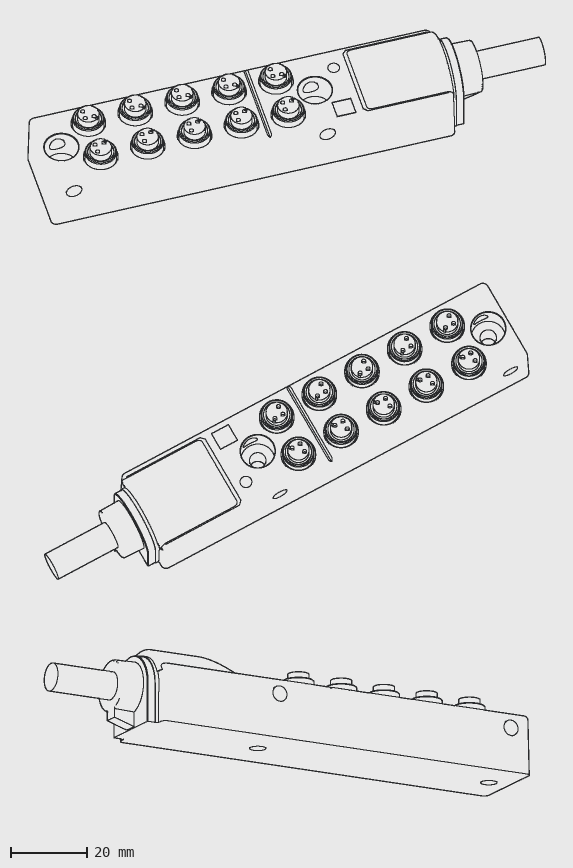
import cadquery as cq
import math

body_width = 24.51
body_length = 110.2
body_height = 16.1
body_corner_radius = 1.5
body_draft_angle = 1.0
body_top_radius = 1.1

mount_y_positions = (6.0, 75.2)
mount_bore_diameter = 4.3
counterbore_diameter = 9.0
counterbore_chamfer = 0.15
counterbore_flare_angle = -45
counterbore_depth = 8.2
cross_bore_diameter = 4.2
cross_bore_z = 12.0

socket_rows = 5
socket_pitch = 12.8
socket_first_y = 15.05
socket_x_offset = 5.85
socket_base_diameter = 8.3
socket_base_height = 2.0
socket_base_chamfer = 0.25
socket_moat_diameter = 9.1
socket_moat_depth = 1.0
socket_ring_diameter = 6.9
socket_ring_depth = 0.5
socket_top_diameter = 5.65
socket_height = 3.8
contact_diameter = 1.07
contact_offset = 1.2
contact_depth = 2.0
keyway_width = 0.6
keyway_inner_radius = 2.2
keyway_depth = 0.5

groove_y = 59.6
groove_width = 1.1
groove_depth = 0.5

indicator_y = 82.0
indicator_diameter = 3.1
indicator_height = 0.3
label_x = 7.7
label_y = 80.9
label_width = 4.9
label_length = 5.1
label_depth = 0.2

overall_height = 22.0
hood_radius = 12.0
hood_axis_z = overall_height - hood_radius
hood_front_top_y = 95.0
hood_front_foot_y = 86.5
hood_edge_radius = 1.5
hood_embed = 2.0
hood_back_radius = 0.9
pad_front_y = 85.6
pad_width = 21.2
pad_height = 0.1
pad_corner = 1.0

cable_axis_z = 11.1
cable_diameter = 7.5
cable_end_y = 137.1
flange_radius = 9.25
flange_axis_z = 10.6
flange_back_y = 113.3
flange_chamfer = 0.2
neck_back_y = 111.1
neck_growth = 0.2
neck_embed = 1.0
collar_radius = 7.1
collar_taper_angle = 1.5
collar_back_y = 119.2
collar_tip_radius = 0.4
rib_width = 4.0
rib_base_z = 0.3
rib_tip_z = 2.1


def cylinder_y(radius, axis_z, y_start, y_end):
    """Round bar along Y between two Y positions."""
    plane = cq.Workplane("XZ", origin=(0, y_start, axis_z))
    return plane.circle(radius).extrude(y_start - y_end)


def disc(diameter, z_start, z_end):
    """Upright round disc about the Z axis between two Z positions."""
    return cq.Workplane("XY", origin=(0, 0, z_start)).circle(diameter / 2).extrude(z_end - z_start)


def block(x_size, y_start, y_end, z_start, z_end):
    """Box centred on X between given Y and Z limits."""
    y_size = y_end - y_start
    plane = cq.Workplane("XY", origin=(0, (y_start + y_end) / 2, z_start))
    return plane.rect(x_size, y_size).extrude(z_end - z_start)


def make_body():
    base = cq.Workplane("XY", origin=(0, body_length / 2, 0)).rect(body_width, body_length)
    body = base.extrude(body_height, taper=body_draft_angle)
    body = body.edges("not(#Z)").fillet(body_corner_radius)
    return body.faces(">Z").edges().fillet(body_top_radius)


def make_hood():
    slope_run_per_rise = (hood_front_top_y - hood_front_foot_y) / (overall_height - body_height)
    embedded_z = body_height - hood_embed
    embedded_y = hood_front_foot_y - hood_embed * slope_run_per_rise
    hood = cylinder_y(hood_radius, hood_axis_z, embedded_y, body_length)
    hood = hood.faces(">Y").edges().fillet(hood_back_radius)
    side_profile = (
        cq.Workplane("YZ", origin=(-hood_radius, 0, 0))
        .moveTo(embedded_y, embedded_z)
        .lineTo(hood_front_top_y, overall_height)
        .lineTo(body_length, overall_height)
        .lineTo(body_length, embedded_z)
        .close()
        .extrude(2 * hood_radius)
    )
    hood = hood.intersect(side_profile)
    return hood.edges("%ELLIPSE").fillet(hood_edge_radius)


def make_hood_pad():
    pad_back_y = body_length - body_corner_radius
    pad = block(pad_width, pad_front_y, pad_back_y, body_height, body_height + pad_height)
    return pad.edges("|Z and <Y").chamfer(pad_corner)


def make_arched_plate(radius, y_start, y_end):
    """Plate with straight sides and a semicircular top."""
    return (
        cq.Workplane("XZ", origin=(0, y_start, 0))
        .moveTo(-radius, 0)
        .lineTo(radius, 0)
        .lineTo(radius, flange_axis_z)
        .threePointArc((0, flange_axis_z + radius), (-radius, flange_axis_z))
        .close()
        .extrude(y_start - y_end)
    )


def make_cable_entry():
    neck = make_arched_plate(flange_radius + neck_growth, body_length - neck_embed, neck_back_y)
    flange = make_arched_plate(flange_radius, neck_back_y, flange_back_y)
    flange = flange.faces(">Y").edges("not(<Z)").chamfer(flange_chamfer)
    collar = (
        cq.Workplane("XZ", origin=(0, flange_back_y, cable_axis_z))
        .circle(collar_radius)
        .extrude(flange_back_y - collar_back_y, taper=collar_taper_angle)
    )
    collar = collar.faces(">Y").edges().fillet(collar_tip_radius)
    rib = (
        cq.Workplane("YZ", origin=(-rib_width / 2, 0, 0))
        .moveTo(flange_back_y, rib_base_z)
        .lineTo(collar_back_y, rib_tip_z)
        .lineTo(collar_back_y, cable_axis_z)
        .lineTo(flange_back_y, cable_axis_z)
        .close()
        .extrude(rib_width)
    )
    cable = cylinder_y(cable_diameter / 2, cable_axis_z, collar_back_y, cable_end_y)
    return neck.union(flange).union(collar).union(rib).union(cable)


def make_socket(side):
    """Socket seated at Z = 0; side is -1 or +1 for the left or right column."""
    base = disc(socket_base_diameter, -socket_moat_depth, socket_base_height)
    base = base.faces(">Z").edges().chamfer(socket_base_chamfer)
    recess_floor_z = socket_base_height - socket_ring_depth
    ring_recess = disc(socket_ring_diameter, recess_floor_z, socket_base_height)
    plug = disc(socket_top_diameter, 0, socket_height)
    contact_points = [
        (-contact_offset, -contact_offset),
        (contact_offset, -contact_offset),
        (-side * contact_offset, contact_offset),
    ]
    contacts = (
        cq.Workplane("XY", origin=(0, 0, socket_height - contact_depth))
        .pushPoints(contact_points)
        .circle(contact_diameter / 2)
        .extrude(contact_depth)
    )
    keyway_angle = math.degrees(math.atan2(contact_offset, -side * contact_offset))
    keyway_length = socket_top_diameter / 2 - keyway_inner_radius
    keyway = (
        cq.Workplane("XY", origin=(0, 0, socket_height - keyway_depth))
        .center(keyway_inner_radius + keyway_length / 2, 0)
        .rect(keyway_length, keyway_width)
        .extrude(keyway_depth)
        .rotate((0, 0, 0), (0, 0, 1), keyway_angle)
    )
    return base.cut(ring_recess).union(plug).cut(contacts).cut(keyway)


def add_sockets(part):
    moat = disc(socket_moat_diameter, -socket_moat_depth, 0)
    for side in (-1, 1):
        socket = make_socket(side)
        for row in range(socket_rows):
            seat = (side * socket_x_offset, socket_first_y + row * socket_pitch, body_height)
            part = part.cut(moat.translate(seat)).union(socket.translate(seat))
    return part


def cut_mounting_holes(part):
    bore = disc(mount_bore_diameter, 0, body_height)
    counterbore = disc(counterbore_diameter, body_height - counterbore_depth, body_height)
    mouth = (
        cq.Workplane("XY", origin=(0, 0, body_height - counterbore_chamfer))
        .circle(counterbore_diameter / 2)
        .extrude(counterbore_chamfer, taper=counterbore_flare_angle)
    )
    cross_bore = (
        cq.Workplane("YZ", origin=(0, 0, cross_bore_z))
        .circle(cross_bore_diameter / 2)
        .extrude(body_width, both=True)
    )
    cutter = bore.union(counterbore).union(mouth).union(cross_bore)
    for y in mount_y_positions:
        part = part.cut(cutter.translate((0, y, 0)))
    return part


def make_groove():
    return (
        cq.Workplane("YZ", origin=(-body_width / 2, 0, 0))
        .moveTo(groove_y - groove_width / 2, body_height)
        .lineTo(groove_y, body_height - groove_depth)
        .lineTo(groove_y + groove_width / 2, body_height)
        .close()
        .extrude(body_width)
    )


def make_indicator():
    rim = indicator_diameter / 2
    sphere_radius = (rim**2 + indicator_height**2) / (2 * indicator_height)
    sphere_z = body_height + indicator_height - sphere_radius
    position = (-socket_x_offset, indicator_y, 0)
    sphere = cq.Workplane("XY").sphere(sphere_radius).translate((0, 0, sphere_z)).translate(position)
    limit = disc(indicator_diameter, body_height, body_height + indicator_height).translate(position)
    return sphere.intersect(limit)


def make_label_recess():
    plane = cq.Workplane("XY", origin=(label_x, label_y, body_height - label_depth))
    return plane.rect(label_width, label_length).extrude(label_depth)


result = make_body().union(make_hood_pad()).union(make_hood()).union(make_cable_entry())
result = add_sockets(result)
result = result.union(make_indicator())
result = cut_mounting_holes(result).cut(make_groove()).cut(make_label_recess())